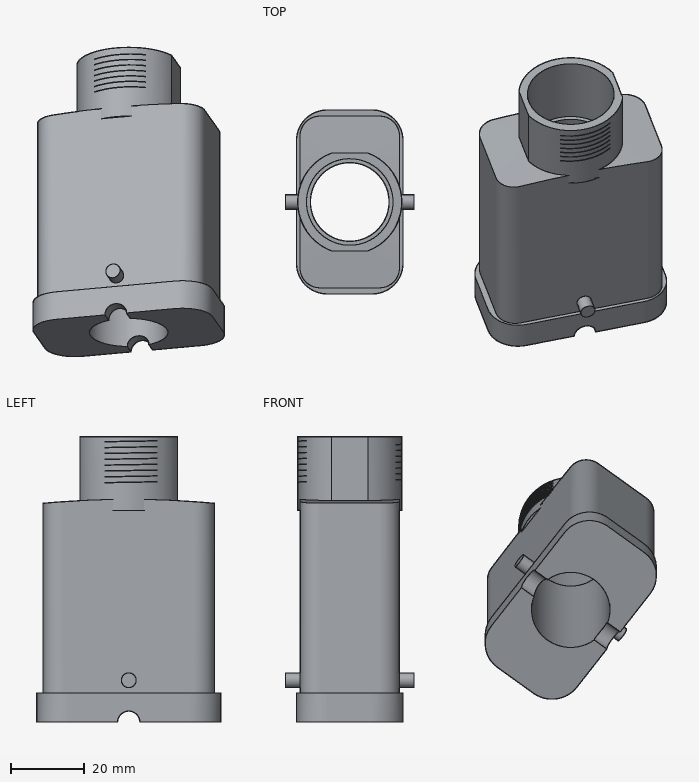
import cadquery as cq
import math

RIM_WIDTH = 29.0
RIM_LENGTH = 50.0
RIM_HEIGHT = 8.0
RIM_CORNER_RADIUS = 8.4

BODY_WIDTH = 27.0
BODY_LENGTH = 46.6
BODY_CORNER_RADIUS = 5.4
ROOF_CROWN_Z = 60.5
ROOF_RADIUS = 260.0

TOTAL_HEIGHT = 77.5
COLLAR_DIAMETER = 28.3
COLLAR_ACROSS_FLATS = 26.5
COLLAR_LENGTH = 20.0
COLLAR_BASE_Z = TOTAL_HEIGHT - COLLAR_LENGTH
COLLAR_RADIUS = COLLAR_DIAMETER / 2

COLLAR_BORE_DIAMETER = 23.5
BODY_BORE_DIAMETER = 21.3

THREAD_PITCH = 25.4 / 16
THREAD_DEPTH = 0.08
THREAD_MOUTH = 0.12
THREAD_ARC = 60.0
THREAD_SKEW = 3.0
THREAD_FIRST_DEPTH = 1.25
THREAD_RUN = 11.5
LEAD_ANGLE = math.degrees(math.atan(THREAD_PITCH / (math.pi * COLLAR_DIAMETER)))

PIN_SPAN = 35.0
PIN_DIAMETER = 4.0
PIN_Z = 11.4
NOTCH_RADIUS = 3.0


def rounded_block(width, length, height, corner_radius):
    block = cq.Workplane("XY").box(width, length, height, centered=(True, True, False))
    return block.edges("|Z").fillet(corner_radius)


def x_cylinder(radius, length, z):
    return cq.Workplane("YZ").center(0, z).circle(radius).extrude(length / 2, both=True)


def make_body():
    block = rounded_block(BODY_WIDTH, BODY_LENGTH, ROOF_CROWN_Z, BODY_CORNER_RADIUS)
    crown = x_cylinder(ROOF_RADIUS, BODY_WIDTH, ROOF_CROWN_Z - ROOF_RADIUS)
    return block.intersect(crown)


def make_collar():
    collar_base = cq.Workplane("XY").workplane(offset=COLLAR_BASE_Z)
    cylinder = collar_base.circle(COLLAR_RADIUS).extrude(COLLAR_LENGTH)
    flats = collar_base.rect(COLLAR_DIAMETER, COLLAR_ACROSS_FLATS).extrude(COLLAR_LENGTH)
    return cylinder.intersect(flats)


def make_thread_groove(side):
    """One V groove, centred on Z = 0, on the +X (side = 1) or -X (side = -1) face of the collar."""
    reach = 2 * THREAD_DEPTH
    half_width = (THREAD_MOUTH / 2) * (reach / THREAD_DEPTH)
    root = COLLAR_RADIUS - THREAD_DEPTH
    profile = [(root, 0), (root + reach, half_width), (root + reach, -half_width)]
    ring_part = cq.Workplane("XZ").polyline(profile).close().revolve(THREAD_ARC, (0, 0, 0), (0, 1, 0))
    facing = 0 if side > 0 else 180
    placed = ring_part.rotate((0, 0, 0), (0, 0, 1), facing + THREAD_SKEW - THREAD_ARC / 2)
    return placed.rotate((0, 0, 0), (1, 0, 0), side * LEAD_ANGLE)


def cut_thread(part):
    for side in (-1, 1):
        groove = make_thread_groove(side)
        start = 0 if side < 0 else THREAD_PITCH / 2
        count = 1 + int((THREAD_RUN - start) / THREAD_PITCH)
        for index in range(count):
            depth = THREAD_FIRST_DEPTH + start + index * THREAD_PITCH
            part = part.cut(groove.translate((0, 0, TOTAL_HEIGHT - depth)))
    return part


def cut_bore(part):
    body_bore = cq.Workplane("XY").circle(BODY_BORE_DIAMETER / 2).extrude(TOTAL_HEIGHT)
    collar_bore = (
        cq.Workplane("XY")
        .workplane(offset=COLLAR_BASE_Z)
        .circle(COLLAR_BORE_DIAMETER / 2)
        .extrude(COLLAR_LENGTH)
    )
    return part.cut(body_bore).cut(collar_bore)


rim = rounded_block(RIM_WIDTH, RIM_LENGTH, RIM_HEIGHT, RIM_CORNER_RADIUS)
pins = x_cylinder(PIN_DIAMETER / 2, PIN_SPAN, PIN_Z)
notch = x_cylinder(NOTCH_RADIUS, RIM_WIDTH, 0)

shell = rim.union(make_body()).union(make_collar()).union(pins)
shell = cut_bore(shell).cut(notch)
result = cut_thread(shell)